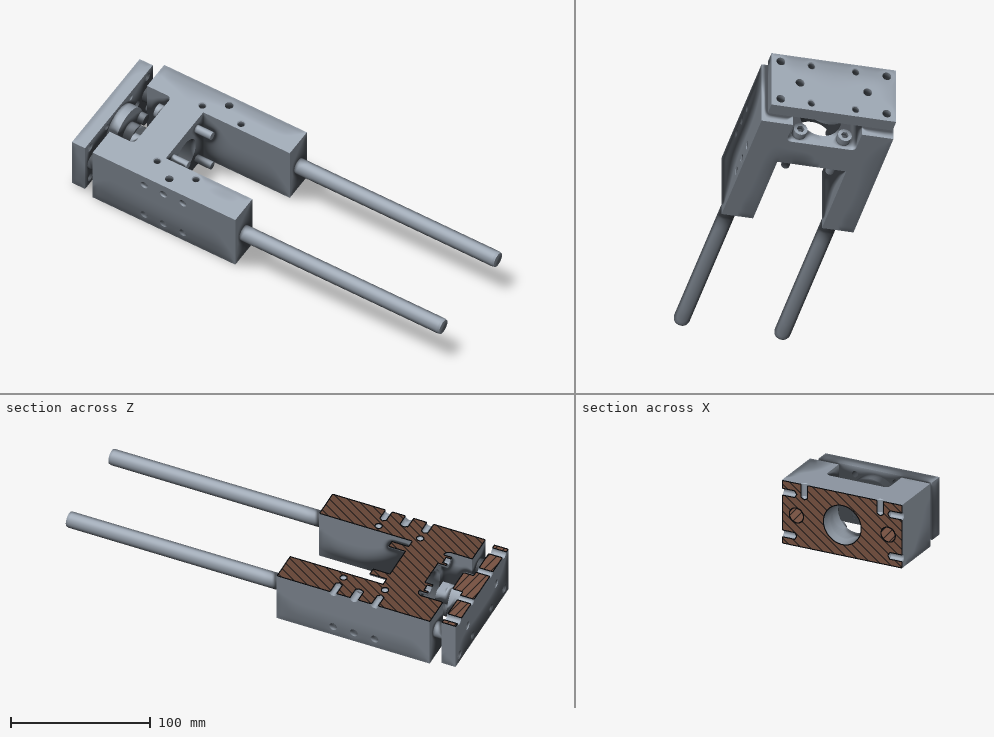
import cadquery as cq
import math


overall_length = 307.0
rod_diameter = 12.0
rod_spacing = 74.0
rod_tip_diameter = 11.0
rod_tip_length = 1.8

plate_thickness = 11.0
plate_width = 91.8
plate_height = 44.8
plate_hole_diameter = 6.5
plate_corner_hole_spacing = 78.0
plate_dowel_spacing = 49.7

bolt_pitch = 32.5

flange_diameter = 38.0
flange_length = 8.0
flange_screw_spacing = 32.0
flange_screw_head_diameter = 8.5
flange_screw_head_length = 5.0
stud_diameter = 16.0
stud_length = 13.8
stud_across_flats = 12.0
stud_flat_length = 6.8

housing_start = plate_thickness + flange_length
housing_length = 120.0
housing_width = 97.0
housing_height = 49.0
housing_rise = 0.5
notch_width = 50.7
notch_depth = 20.5
notch_fillet = 3.7
bridge_thickness = 26.7
bridge_bore_diameter = 30.0

bridge_screw_diameter = 6.0
bridge_screw_head_diameter = 10.0
bridge_screw_head_length = 6.5
bridge_screw_reach = 13.2
socket_across_flats = 5.0
socket_depth = 3.7

tapped_core_diameter = 5.0
tapped_mouth_diameter = 6.0
tapped_depth = 10.0
drill_point_angle = 118.0
dowel_diameter = 6.0
dowel_depth = 10.0
hole_row_offset = 59.5
top_tapped_spacing = 61.0
top_dowel_spacing = 81.0

housing_end = housing_start + housing_length
bridge_front = housing_start + notch_depth
bridge_back = bridge_front + bridge_thickness
housing_top = housing_rise + housing_height / 2
housing_side = housing_width / 2
hole_row_middle = housing_start + hole_row_offset
bolt_points = [(y * bolt_pitch / 2, z * bolt_pitch / 2) for y in (-1, 1) for z in (-1, 1)]

ALONG_X = cq.Vector(1, 0, 0)
DOWN = cq.Vector(0, 0, -1)


def cylinder(start, direction, diameter, length):
    return cq.Workplane(cq.Solid.makeCylinder(diameter / 2, length, start, direction))


def x_cylinder(x, y, z, diameter, length):
    return cylinder(cq.Vector(x, y, z), ALONG_X, diameter, length)


def tapped_hole(start, direction, depth):
    """Straight hole with a chamfered mouth."""
    core_radius = tapped_core_diameter / 2
    mouth_radius = tapped_mouth_diameter / 2
    mouth_depth = mouth_radius - core_radius
    core = cq.Solid.makeCylinder(core_radius, depth, start, direction)
    mouth = cq.Solid.makeCone(mouth_radius, core_radius, mouth_depth, start, direction)
    return cq.Workplane(core).union(mouth)


def tapped_blind_hole(start, direction):
    """Tapped hole that ends in a conical drill point."""
    core_radius = tapped_core_diameter / 2
    point_length = core_radius / math.tan(math.radians(drill_point_angle / 2))
    point_start = start + direction * tapped_depth
    point = cq.Solid.makeCone(core_radius, 0, point_length, point_start, direction)
    return tapped_hole(start, direction, tapped_depth).union(point)


def make_rod(y):
    rod = x_cylinder(0, y, 0, rod_diameter, overall_length)
    tip_step = (rod_diameter - rod_tip_diameter) / 2
    return rod.faces(">X").chamfer(rod_tip_length, tip_step)


def make_coupling():
    flange = x_cylinder(plate_thickness, 0, 0, flange_diameter, flange_length)
    flange_end = plate_thickness + flange_length
    stud_end = flange_end + stud_length
    stud = x_cylinder(flange_end, 0, 0, stud_diameter, stud_length)
    flat_ring = x_cylinder(stud_end - stud_flat_length, 0, 0, stud_diameter, stud_flat_length)
    flat_core = cq.Workplane().box(2 * stud_end, stud_diameter, stud_across_flats)
    coupling = flange.union(stud.cut(flat_ring.cut(flat_core)))
    for side in (-1, 1):
        y = side * flange_screw_spacing / 2
        coupling = coupling.union(
            x_cylinder(flange_end, y, 0, flange_screw_head_diameter, flange_screw_head_length)
        )
    return coupling


def make_slide():
    plate = cq.Workplane().box(plate_thickness, plate_width, plate_height)
    plate = plate.translate((plate_thickness / 2, 0, 0))
    slide = plate.union(make_coupling())
    for side in (-1, 1):
        slide = slide.union(make_rod(side * rod_spacing / 2))

    through_points = [(side * plate_dowel_spacing / 2, 0) for side in (-1, 1)]
    for side in (-1, 1):
        for level in (-1, 1):
            through_points.append((side * plate_corner_hole_spacing / 2, level * bolt_pitch / 2))
    for y, z in through_points:
        slide = slide.cut(x_cylinder(0, y, z, plate_hole_diameter, plate_thickness))
    for y, z in bolt_points:
        slide = slide.cut(tapped_hole(cq.Vector(0, y, z), ALONG_X, plate_thickness))
    return slide


def make_block():
    block = cq.Workplane().box(housing_length, housing_width, housing_height)
    block = block.translate((housing_start + housing_length / 2, 0, housing_rise))
    notch = cq.Workplane().box(notch_depth, notch_width, housing_height)
    notch = notch.edges("|Z and >X").fillet(notch_fillet)
    notch = notch.translate((housing_start + notch_depth / 2, 0, housing_rise))
    slot_length = housing_end - bridge_back
    slot = cq.Workplane().box(slot_length, notch_width, housing_height)
    slot = slot.translate((bridge_back + slot_length / 2, 0, housing_rise))
    block = block.cut(notch).cut(slot)
    block = block.cut(x_cylinder(bridge_front, 0, 0, bridge_bore_diameter, bridge_thickness))
    for side in (-1, 1):
        bore = x_cylinder(housing_start, side * rod_spacing / 2, 0, rod_diameter, housing_length)
        block = block.cut(bore)
    return block


def make_bridge_screw(y, z):
    head_front = bridge_front - bridge_screw_head_length
    shank_length = bridge_thickness + bridge_screw_reach
    head = x_cylinder(head_front, y, z, bridge_screw_head_diameter, bridge_screw_head_length)
    shank = x_cylinder(bridge_front, y, z, bridge_screw_diameter, shank_length)
    socket_corners = socket_across_flats / math.cos(math.pi / 6)
    socket = cq.Workplane("YZ", origin=(head_front, y, z)).polygon(6, socket_corners).extrude(socket_depth)
    return head.union(shank).cut(socket)


def cut_top_holes(block):
    for side in (-1, 1):
        dowel_start = cq.Vector(hole_row_middle, side * top_dowel_spacing / 2, housing_top)
        block = block.cut(cylinder(dowel_start, DOWN, dowel_diameter, dowel_depth))
        for step in (-1, 1):
            x = hole_row_middle + step * bolt_pitch / 2
            start = cq.Vector(x, side * top_tapped_spacing / 2, housing_top)
            block = block.cut(tapped_blind_hole(start, DOWN))
    return block


def cut_side_holes(block):
    for side in (-1, 1):
        inward = cq.Vector(0, -side, 0)
        for level in (-1, 1):
            z = level * bolt_pitch / 2
            dowel_start = cq.Vector(hole_row_middle, side * housing_side, z)
            block = block.cut(cylinder(dowel_start, inward, dowel_diameter, dowel_depth))
            for step in (-1, 1):
                x = hole_row_middle + step * bolt_pitch / 2
                block = block.cut(tapped_blind_hole(cq.Vector(x, side * housing_side, z), inward))
    return block


def make_housing():
    housing = cut_side_holes(cut_top_holes(make_block()))
    for y, z in bolt_points:
        housing = housing.union(make_bridge_screw(y, z))
    return housing


slide = make_slide()
housing = make_housing()
result = cq.Compound.makeCompound([slide.val(), housing.val()])